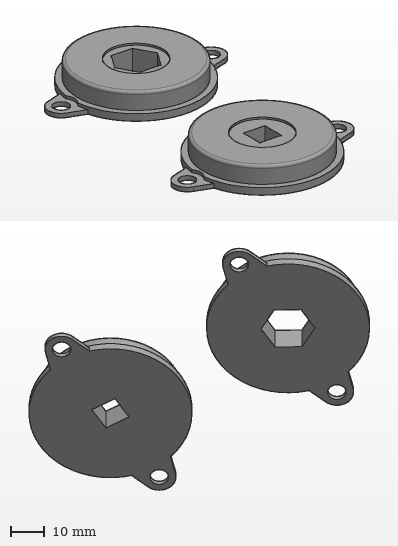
import cadquery as cq
import math

cover_pitch = 61.6
cover_height = 8.8

flange_diameter = 48.4
flange_height = 2.5
drum_diameter = 44.0
drum_edge_radius = 1.0

ear_tip_span = 65.9
ear_hole_diameter = 5.5
ear_radius = 5.0
ear_hole_offset = ear_tip_span / 2 - ear_radius
ear_thickness = 1.5
ear_flank_angle = math.radians(18)
ear_root_y = 22.6

recess_diameter = 20.0
recess_depth = 0.7
hex_across_flats = 13.9
hex_across_corners = hex_across_flats / math.cos(math.pi / 6)
square_side = 8.0


def cylinder(diameter, height):
    return cq.Workplane("XY").circle(diameter / 2).extrude(height)


def ear_blank():
    """Ear on the +Y edge, with both flanks tangent to its round end."""
    tangent_x = ear_radius * math.cos(ear_flank_angle)
    tangent_y = ear_hole_offset + ear_radius * math.sin(ear_flank_angle)
    root_x = tangent_x + (tangent_y - ear_root_y) * math.tan(ear_flank_angle)
    return (
        cq.Workplane("XY")
        .moveTo(-root_x, ear_root_y)
        .lineTo(root_x, ear_root_y)
        .lineTo(tangent_x, tangent_y)
        .threePointArc((0, ear_hole_offset + ear_radius), (-tangent_x, tangent_y))
        .close()
        .extrude(ear_thickness)
    )


def hex_socket():
    """Hexagonal prism with two corners on the Y axis."""
    return (
        cq.Workplane("XY")
        .transformed(rotate=(0, 0, 90))
        .polygon(6, hex_across_corners)
        .extrude(cover_height)
    )


def square_socket():
    return cq.Workplane("XY").rect(square_side, square_side).extrude(cover_height)


def cover_blank():
    """Flanged drum with a shallow top recess and two ears, before its socket is cut."""
    drum = cylinder(drum_diameter, cover_height).faces(">Z").edges().fillet(drum_edge_radius)
    blank = drum.union(cylinder(flange_diameter, flange_height))
    recess = cylinder(recess_diameter, recess_depth)
    blank = blank.cut(recess.translate((0, 0, cover_height - recess_depth)))

    clearance = cylinder(2 * ear_radius, flange_height - ear_thickness)
    ear_hole = cylinder(ear_hole_diameter, ear_thickness)
    for side in (1, -1):
        hole_y = side * ear_hole_offset
        ear = ear_blank() if side > 0 else ear_blank().mirror("XZ")
        blank = blank.cut(clearance.translate((0, hole_y, ear_thickness)))
        blank = blank.union(ear).cut(ear_hole.translate((0, hole_y, 0)))
    return blank


hex_cover = cover_blank().cut(hex_socket())
square_cover = cover_blank().cut(square_socket()).translate((cover_pitch, 0, 0))

result = cq.Compound.makeCompound([hex_cover.val(), square_cover.val()])